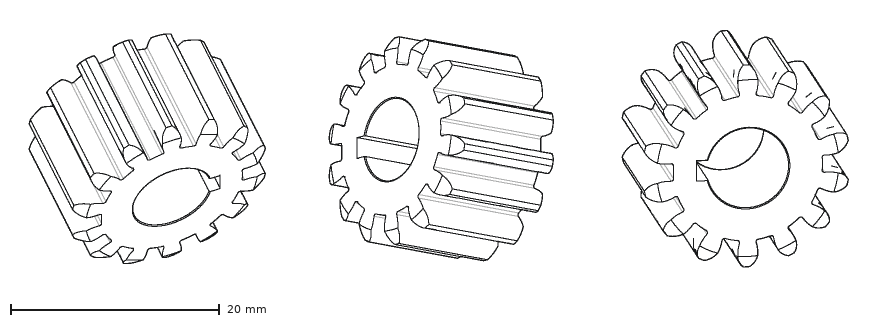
import cadquery as cq
import math


teeth = 14
face_width = 12.7
tip_radius = 10.15
pitch_radius = tip_radius * teeth / (teeth + 2)
root_radius = 7.3

foot_half_gap = 0.9
waist_half_gap = 0.87
waist_radius = 8.17
flank_mid_radius = 9.3
flank_mid_half_width = 0.9
tip_half_width = 0.3
root_fillet = 0.22

bevel_angle = 30.0
bevel_length = (tip_radius - pitch_radius) * math.tan(math.radians(bevel_angle))

bore_radius = 4.0
bore_chamfer = 0.1
key_width = 2.03
key_depth = 5.0

half_pitch_angle = math.pi / teeth
half_face = face_width / 2


def gap_side(radius, half_gap):
    """Radius and angle from the gap's centre line, for a point half_gap off that line."""
    return radius, math.asin(half_gap / radius)


def tooth_side(radius, half_width):
    """Radius and angle from the gap's centre line, for a point half_width off the tooth's."""
    return radius, half_pitch_angle - math.asin(half_width / radius)


flank = [
    gap_side(root_radius, foot_half_gap),
    gap_side(waist_radius, waist_half_gap),
    tooth_side(flank_mid_radius, flank_mid_half_width),
    tooth_side(tip_radius, tip_half_width),
]


def polar(radius, angle):
    """Y, Z of a point at a radius, with the angle measured from the Z axis towards +Y."""
    return radius * math.sin(angle), radius * math.cos(angle)


def gear_blank():
    """Toothed prism, traced one gap and one tooth tip at a time around the axis."""
    tip_end = flank[-1][1]
    outline = cq.Workplane("YZ", origin=(-half_face, 0, 0))
    outline = outline.moveTo(*polar(tip_radius, half_pitch_angle - tip_end))
    for index in range(teeth):
        gap_angle = half_pitch_angle * (2 * index + 1)
        next_tooth_angle = gap_angle + half_pitch_angle
        next_gap_angle = next_tooth_angle + half_pitch_angle
        inward = [polar(radius, gap_angle - angle) for radius, angle in reversed(flank)]
        outward = [polar(radius, gap_angle + angle) for radius, angle in flank]
        outline = (
            outline.spline(inward[1:], includeCurrent=True)
            .threePointArc(polar(root_radius, gap_angle), outward[0])
            .spline(outward[1:], includeCurrent=True)
            .threePointArc(
                polar(tip_radius, next_tooth_angle),
                polar(tip_radius, next_gap_angle - tip_end),
            )
        )
    return outline.close().extrude(face_width)


def fillet_roots(gear):
    """Round the two inner corners of every gap."""
    corner_limit = (root_radius + waist_radius) / 2
    corners = [
        edge
        for edge in gear.edges("|X").vals()
        if math.hypot(edge.Center().y, edge.Center().z) < corner_limit
    ]
    return gear.newObject(corners).fillet(root_fillet)


def turned_solid(end_radius, middle_radius, end_length):
    """Solid of revolution about X: a cylinder with a conical stretch at each end."""
    return (
        cq.Workplane("XY")
        .moveTo(-half_face, 0)
        .lineTo(-half_face, end_radius)
        .lineTo(-half_face + end_length, middle_radius)
        .lineTo(half_face - end_length, middle_radius)
        .lineTo(half_face, end_radius)
        .lineTo(half_face, 0)
        .close()
        .revolve(360, (0, 0, 0), (1, 0, 0))
    )


def keyway():
    """Square-cornered slot on the +Y side of the bore."""
    return cq.Workplane("XY").box(face_width, key_depth, key_width).translate((0, key_depth / 2, 0))


bevelled_envelope = turned_solid(pitch_radius, tip_radius, bevel_length)
chamfered_bore = turned_solid(bore_radius + bore_chamfer, bore_radius, bore_chamfer)

gear = fillet_roots(gear_blank()).intersect(bevelled_envelope)
result = gear.cut(chamfered_bore).cut(keyway())